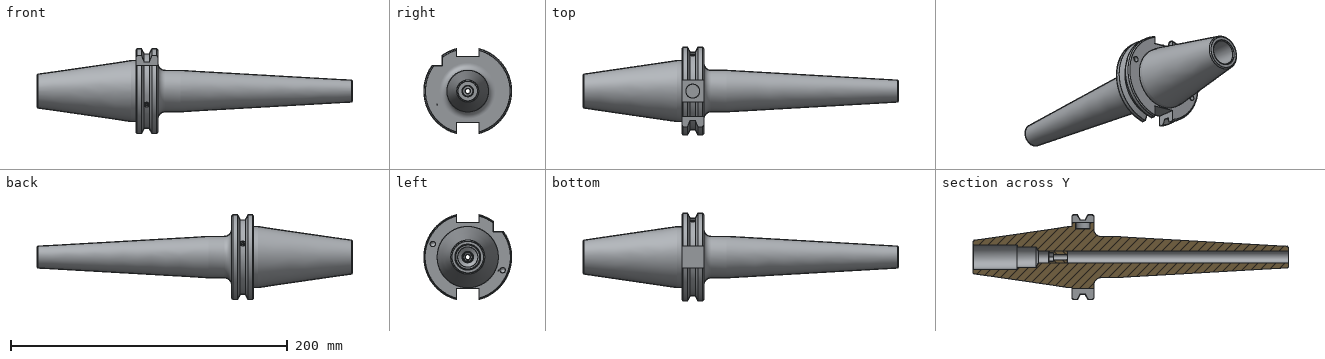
import cadquery as cq
import math


total_length = 228.5
taper_length = 68.3
flange_start = 71.7
flange_end = 87.7
neck_end = 104.2

taper_large_radius = 22.2
taper_small_radius = 12.3
taper_end_chamfer = 1.0
flange_radius = 31.7
flange_rear_chamfer = 1.0
flange_front_chamfer = 1.1
neck_radius = 15.0
neck_fillet = 5.0
nose_radius = 8.0
nose_chamfer = 1.0

groove_center = 79.5
groove_root_radius = 28.0
groove_root_half_width = 1.8
groove_flank_angle = 28.0

keyway_width = 16.0
top_keyway_floor = 25.1
bottom_keyway_floor = 22.8
notch_offset = 18.5
chip_pocket_diameter = 10.0
chip_pocket_depth = 4.5

coolant_angle = 20.5
coolant_pitch_radius = 27.0
coolant_hole_radius = 1.95
coolant_hole_depth = 3.7
drill_tip_half_angle = 59.0
plug_radius = 1.8
plug_outer_end = 27.9
plug_length = 3.7
plug_socket_flats = 1.5
plug_socket_depth = 1.4

bore_mouth_radius = 9.4
bore_mouth_chamfer = 0.7
thread_radius = bore_mouth_radius - bore_mouth_chamfer
thread_depth = 32.0
rear_bore_radius = 7.3
rear_bore_depth = 45.7
passage_radius = 4.0

screw_start = 54.8
screw_length = 13.7
screw_chamfer = 0.5
screw_hole_radius = 1.8
screw_socket_flats = 6.0
screw_socket_depth = 3.5

HEXAGON_SIDES = 6
coolant_directions = [coolant_angle, 180.0 + coolant_angle]


def revolve_about_x(profile):
    """Turn a closed profile drawn as (x, radius) into a solid about the X axis."""
    return profile.close().revolve(360, (0, 0, 0), (1, 0, 0))


def radial_plane(direction, radius):
    """Plane on the groove centre line, facing outward at an angle from +Y towards +Z."""
    y = math.cos(math.radians(direction))
    z = math.sin(math.radians(direction))
    origin = (groove_center, radius * y, radius * z)
    return cq.Plane(origin=origin, xDir=(1, 0, 0), normal=(0, y, z))


def hexagon_corner_diameter(flats):
    return flats / math.cos(math.pi / HEXAGON_SIDES)


def outer_body():
    groove_depth = flange_radius - groove_root_radius
    flank_run = groove_depth * math.tan(math.radians(groove_flank_angle))
    groove_rim_half_width = groove_root_half_width + flank_run
    fillet_middle = neck_fillet * (1 - math.sqrt(0.5))

    profile = (
        cq.Workplane("XY")
        .moveTo(0, 0)
        .lineTo(0, taper_small_radius - taper_end_chamfer)
        .lineTo(taper_end_chamfer, taper_small_radius)
        .lineTo(taper_length, taper_large_radius)
        .lineTo(flange_start, taper_large_radius)
        .lineTo(flange_start, flange_radius - flange_rear_chamfer)
        .lineTo(flange_start + flange_rear_chamfer, flange_radius)
        .lineTo(groove_center - groove_rim_half_width, flange_radius)
        .lineTo(groove_center - groove_root_half_width, groove_root_radius)
        .lineTo(groove_center + groove_root_half_width, groove_root_radius)
        .lineTo(groove_center + groove_rim_half_width, flange_radius)
        .lineTo(flange_end - flange_front_chamfer, flange_radius)
        .lineTo(flange_end, flange_radius - flange_front_chamfer)
        .lineTo(flange_end, neck_radius + neck_fillet)
        .threePointArc(
            (flange_end + fillet_middle, neck_radius + fillet_middle),
            (flange_end + neck_fillet, neck_radius),
        )
        .lineTo(neck_end, neck_radius)
        .lineTo(total_length - nose_chamfer, nose_radius)
        .lineTo(total_length, nose_radius - nose_chamfer)
        .lineTo(total_length, 0)
    )
    return revolve_about_x(profile)


def central_bore():
    """Threaded mouth, drilled bore with a conical bottom, and a passage out through the nose."""
    tip_slope = math.tan(math.radians(drill_tip_half_angle))
    cone_length = (rear_bore_radius - passage_radius) / tip_slope
    profile = (
        cq.Workplane("XY")
        .moveTo(0, 0)
        .lineTo(0, bore_mouth_radius)
        .lineTo(bore_mouth_chamfer, thread_radius)
        .lineTo(thread_depth, thread_radius)
        .lineTo(thread_depth, rear_bore_radius)
        .lineTo(rear_bore_depth, rear_bore_radius)
        .lineTo(rear_bore_depth + cone_length, passage_radius)
        .lineTo(total_length, passage_radius)
        .lineTo(total_length, 0)
    )
    return revolve_about_x(profile)


def flange_block(y_start, y_end, z_start, z_end):
    """Cutting block that spans the whole width of the flange."""
    size = (flange_end - flange_start, y_end - y_start, z_end - z_start)
    return cq.Workplane("XY").box(*size, centered=False).translate((flange_start, y_start, z_start))


def flange_cutouts():
    half_width = keyway_width / 2
    top_keyway = flange_block(-half_width, half_width, top_keyway_floor, flange_radius)
    bottom_keyway = flange_block(-half_width, half_width, -flange_radius, -bottom_keyway_floor)
    corner_notch = flange_block(-flange_radius, -notch_offset, notch_offset, flange_radius)
    return top_keyway.union(bottom_keyway).union(corner_notch)


def chip_pocket():
    """Round pocket in the floor of the top keyway."""
    floor = cq.Workplane("XY", origin=(groove_center, 0, top_keyway_floor))
    return floor.circle(chip_pocket_diameter / 2).extrude(-chip_pocket_depth)


def coolant_hole(direction):
    """Blind hole with a drill tip, entering the rear face of the flange."""
    tip_length = coolant_hole_radius / math.tan(math.radians(drill_tip_half_angle))
    y = coolant_pitch_radius * math.cos(math.radians(direction))
    z = coolant_pitch_radius * math.sin(math.radians(direction))
    profile = (
        cq.Workplane("XY")
        .moveTo(0, 0)
        .lineTo(0, coolant_hole_radius)
        .lineTo(coolant_hole_depth, coolant_hole_radius)
        .lineTo(coolant_hole_depth + tip_length, 0)
    )
    return revolve_about_x(profile).translate((flange_start, y, z))


def plug_hole(direction):
    """Radial hole from the groove down to the inner end of the plug."""
    outer_plane = radial_plane(direction, flange_radius)
    depth = flange_radius - plug_outer_end + plug_length
    return cq.Workplane(outer_plane).circle(plug_radius).extrude(-depth)


def make_holder():
    holder = outer_body().cut(central_bore()).cut(flange_cutouts()).cut(chip_pocket())
    for direction in coolant_directions:
        holder = holder.cut(coolant_hole(direction)).cut(plug_hole(direction))
    return holder


def make_plug(direction):
    """Grub screw with a hexagon socket that closes one radial hole."""
    outer_end = cq.Workplane(radial_plane(direction, plug_outer_end))
    socket_diameter = hexagon_corner_diameter(plug_socket_flats)
    socket = outer_end.polygon(HEXAGON_SIDES, socket_diameter).extrude(-plug_socket_depth)
    return outer_end.circle(plug_radius).extrude(-plug_length).cut(socket)


def make_stop_screw():
    """Hollow screw with chamfered ends and a hexagon socket facing the taper end."""
    rear_end = cq.Workplane("YZ", origin=(screw_start, 0, 0))
    shank = rear_end.circle(passage_radius).extrude(screw_length).edges().chamfer(screw_chamfer)
    through_hole = rear_end.circle(screw_hole_radius).extrude(screw_length)
    socket_diameter = hexagon_corner_diameter(screw_socket_flats)
    socket = rear_end.polygon(HEXAGON_SIDES, socket_diameter).extrude(screw_socket_depth)
    return shank.cut(through_hole).cut(socket)


holder = make_holder()
plugs = [make_plug(direction) for direction in coolant_directions]
stop_screw = make_stop_screw()

result = cq.Compound.makeCompound(
    [holder.val(), *[plug.val() for plug in plugs], stop_screw.val()]
)